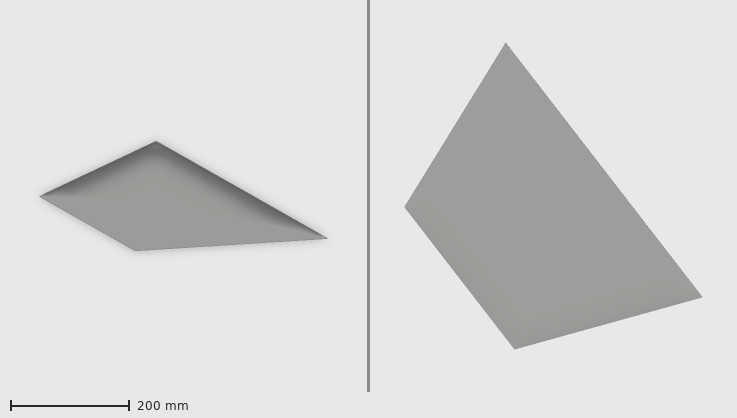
import cadquery as cq

long_edge = 547.0
short_edge = 306.0
depth = 306.0
thickness = 1.6

outline = [
    (-short_edge / 2, -depth / 2),
    (short_edge / 2, -depth / 2),
    (long_edge / 2, depth / 2),
    (-long_edge / 2, depth / 2),
]

result = cq.Workplane("XY").polyline(outline).close().extrude(thickness)